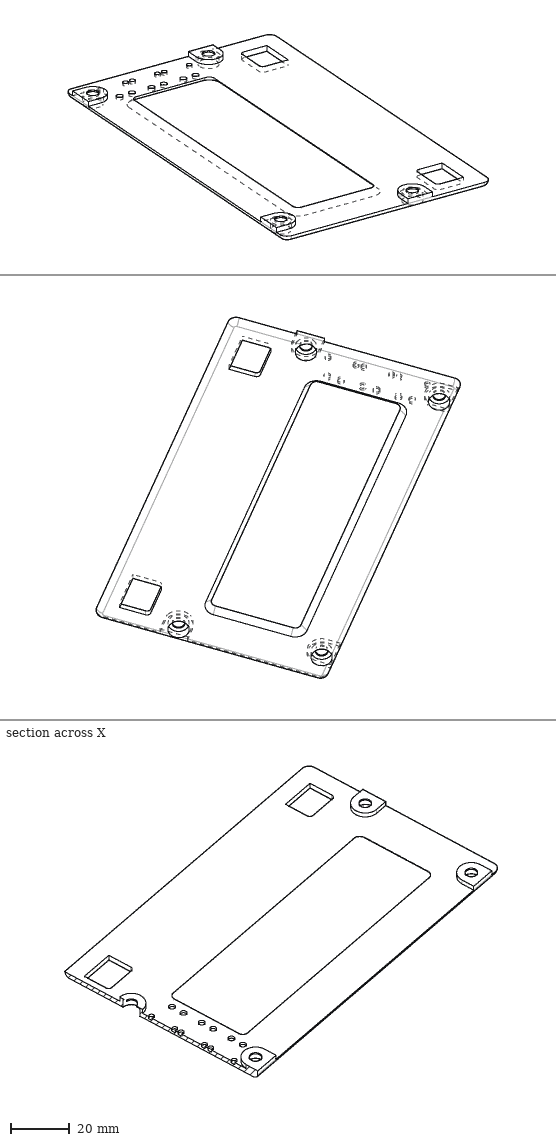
import cadquery as cq

LENGTH = 139.0
WIDTH = 84.2
PLATE_THICKNESS = 2.2
CORNER_RADIUS = 2.9

PAD_HEIGHT = 1.8
PAD_RADIUS = 5.0
SIDE_PAD_Y = 13.0
FRONT_PAD_INSET = 10.0
SCREW_DIAMETER = 4.3
SCREW_HEAD_DIAMETER = 7.2
SCREW_LIP = 0.5

WINDOW_LENGTH = 104.2
WINDOW_WIDTH = 32.4
WINDOW_Y = -10.0
WINDOW_RADIUS = 2.1
WINDOW_FLARE_ANGLE = 45

OPENING_LENGTH = 13.5
OPENING_WIDTH = 10.8
OPENING_X = 55.5
OPENING_Y = 29.9
OPENING_RADIUS = 1.4

GROUP_COUNT = 3
GROUP_PITCH = 12.9
GROUP_Y = -13.2
HOLE_DEPTH = 1.0
OUTER_HOLE_DIAMETER = 2.0
OUTER_HOLE_X = -63.8
OUTER_HOLE_SPACING = 10.1
INNER_HOLE_DIAMETER = 2.4
INNER_HOLE_X = -55.7
INNER_HOLE_SPACING = 5.0

BOTTOM_FILLET = PLATE_THICKNESS
TOTAL_HEIGHT = PLATE_THICKNESS + PAD_HEIGHT
SCREW_HEAD_DEPTH = TOTAL_HEIGHT - SCREW_LIP
SIDE_PAD_X = LENGTH / 2 - PAD_RADIUS
FRONT_PAD_X = LENGTH / 2 - FRONT_PAD_INSET
FRONT_PAD_Y = PAD_RADIUS - WIDTH / 2

PADS = [
    (-SIDE_PAD_X, SIDE_PAD_Y, 180),
    (SIDE_PAD_X, SIDE_PAD_Y, 0),
    (-FRONT_PAD_X, FRONT_PAD_Y, -90),
    (FRONT_PAD_X, FRONT_PAD_Y, -90),
]


def make_blank():
    """Block of full height with rounded corners and a rounded lower rim."""
    blank = cq.Workplane("XY").box(LENGTH, WIDTH, TOTAL_HEIGHT, centered=(True, True, False))
    blank = blank.edges("|Z").fillet(CORNER_RADIUS)
    return blank.faces("<Z").edges().fillet(BOTTOM_FILLET)


def make_pad(x, y, angle):
    """Tongue with a round inner end and a straight outer end on the plate edge."""
    pad = (
        cq.Workplane("XY")
        .moveTo(PAD_RADIUS, -PAD_RADIUS)
        .lineTo(PAD_RADIUS, PAD_RADIUS)
        .lineTo(0, PAD_RADIUS)
        .threePointArc((-PAD_RADIUS, 0), (0, -PAD_RADIUS))
        .close()
        .extrude(PAD_HEIGHT)
    )
    return pad.rotate((0, 0, 0), (0, 0, 1), angle).translate((x, y, PLATE_THICKNESS))


def make_envelope():
    """Space filled by the plate and its pads, before the rim is rounded."""
    envelope = cq.Workplane("XY").box(LENGTH, WIDTH, PLATE_THICKNESS, centered=(True, True, False))
    for x, y, angle in PADS:
        envelope = envelope.union(make_pad(x, y, angle))
    return envelope


def make_screw_hole(x, y):
    """Through hole with a deep screw-head recess from the underside, leaving a thin lip at the top."""
    head_radius = SCREW_HEAD_DIAMETER / 2
    screw_radius = SCREW_DIAMETER / 2
    shank = cq.Solid.makeCylinder(screw_radius, TOTAL_HEIGHT, cq.Vector(x, y, 0))
    head = cq.Solid.makeCylinder(head_radius, SCREW_HEAD_DEPTH, cq.Vector(x, y, 0))
    return cq.Workplane(shank).union(cq.Workplane(head))


def make_window():
    """Window whose walls flare outwards below the top face."""
    return (
        cq.Workplane("XY", origin=(0, WINDOW_Y, PLATE_THICKNESS))
        .sketch()
        .rect(WINDOW_LENGTH, WINDOW_WIDTH)
        .vertices()
        .fillet(WINDOW_RADIUS)
        .finalize()
        .extrude(-PLATE_THICKNESS, taper=-WINDOW_FLARE_ANGLE)
    )


def make_openings():
    """Mirrored pair of straight-walled openings through the plate."""
    openings = cq.Workplane("XY").pushPoints([(-OPENING_X, OPENING_Y), (OPENING_X, OPENING_Y)])
    openings = openings.rect(OPENING_LENGTH, OPENING_WIDTH).extrude(PLATE_THICKNESS)
    return openings.faces("<Y").edges("|Z").fillet(OPENING_RADIUS)


def make_hole_column(x, diameter, spacing):
    """Blind holes in pairs, one pair per group."""
    centres = []
    for group in range(GROUP_COUNT):
        group_y = GROUP_Y + (group - (GROUP_COUNT - 1) / 2) * GROUP_PITCH
        centres.append((x, group_y - spacing / 2))
        centres.append((x, group_y + spacing / 2))
    top = cq.Workplane("XY").workplane(offset=PLATE_THICKNESS)
    return top.pushPoints(centres).circle(diameter / 2).extrude(-HOLE_DEPTH)


result = make_blank().intersect(make_envelope())
for pad_x, pad_y, _ in PADS:
    result = result.cut(make_screw_hole(pad_x, pad_y))
result = result.cut(make_window())
result = result.cut(make_openings())
result = result.cut(make_hole_column(OUTER_HOLE_X, OUTER_HOLE_DIAMETER, OUTER_HOLE_SPACING))
result = result.cut(make_hole_column(INNER_HOLE_X, INNER_HOLE_DIAMETER, INNER_HOLE_SPACING))